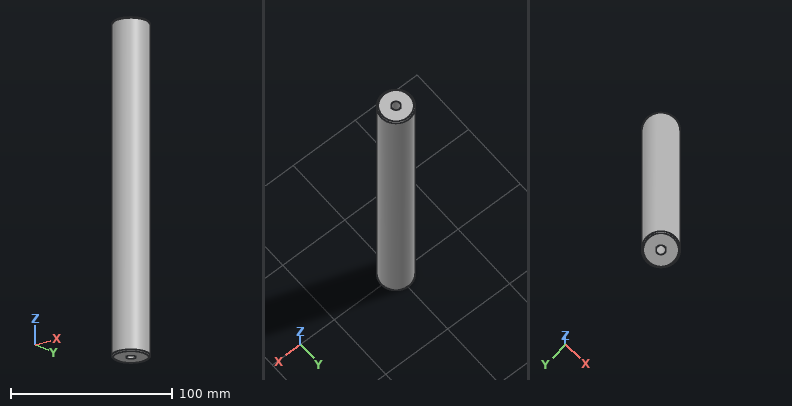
import cadquery as cq

length = 220.0
outer_diameter = 24.0
bore_diameter = 6.2
end_chamfer = 1.0


def make_rod():
    """Round rod along Z, chamfered at both ends and bored through."""
    blank = cq.Workplane("XY").circle(outer_diameter / 2).extrude(length)
    chamfered = blank.faces("<Z or >Z").edges().chamfer(end_chamfer)
    return chamfered.faces(">Z").workplane().hole(bore_diameter)


rod = make_rod()

result = cq.Compound.makeCompound([rod.val()])